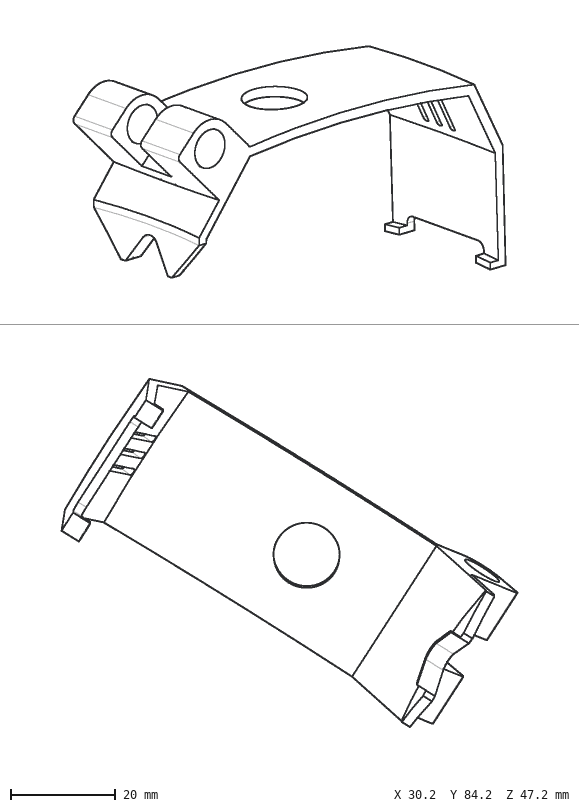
import cadquery as cq
import math

half_width = 15.1
rear_bow = 0.3
front_bow = 1.2
rear_foot_outer = (42.1, 0)
rear_foot_inner = (40.2, 0)
rear_bend_outer = (41.3, 24.5)
rear_bend_inner = (39.4, 23.3)
shoulder_outer = (34.0, 38.45)
shoulder_inner = (32.5, 36.5)
crest_outer = (2.7, 40.8)
crest_inner = (2.95, 38.7)
front_shoulder_outer = (-24.6, 39.2)
front_shoulder_inner = (-23.7, 37.4)
front_bend_outer = (-36.85, 23.9)
front_bend_inner = (-34.9, 23.2)
front_crease_outer = (-36.85, 22.4)
front_end_outer = (-37.8, 13.8)
front_end_inner = (-35.8, 13.8)

lug_y, lug_z = -34.1, 41.3
lug_radius = 5.9
lug_hole_radius = 3.9
lug_tip_radius = 1.1
lug_lower_sum = -1.35
lug_gap = 8.4
gap_depth = 5.9
gap_cut_size = 33.65
lug_root_y = -31.3
lug_root_overlap = 0.4

cut_margin = 0.8
top_hole_radius, top_hole_y = 6.3, -3.9
top_hole_cut_depth = 12.6
vent_count, vent_pitch, vent_width, vent_length = 3, 3.8, 1.35, 12.95
vent_y = 37.5
vent_cut_depth = 3.4

foot_inset = 10.9
foot_reach_y = 38.1
foot_thickness = 1.4
foot_rise = 0.3
notch_height = 3.95
notch_radius = 1.7
notch_cut_depth = 8.4

claw_top = front_crease_outer[1]
claw_tip_z = front_end_outer[1]
claw_tip_outer, claw_tip_inner = 7.2, 6.1
arch_top = 20.4
arch_flank_x, arch_flank_z = 1.85, 19.5
rib_thickness = 1.35
rib_depth = 2.0
claw_cut_y, claw_cut_depth = -25.2, 16.8


def shift(point, dy, dz=0.0):
    return (point[0] + dy, point[1] + dz)


def across_width(outline, half):
    """Extrude a closed YZ outline symmetrically about X = 0."""
    return outline.extrude(half, both=True)


def band_outline(x, rear, front):
    """YZ section of the band with its rear and front walls moved along Y."""
    return (
        cq.Workplane("YZ", origin=(x, 0, 0))
        .moveTo(*rear_foot_outer)
        .lineTo(*shift(rear_bend_outer, rear))
        .lineTo(*shift(shoulder_outer, rear, rear))
        .threePointArc(crest_outer, front_shoulder_outer)
        .lineTo(*shift(front_bend_outer, front))
        .lineTo(*shift(front_crease_outer, front))
        .lineTo(*shift(front_end_outer, front))
        .lineTo(*shift(front_end_inner, front))
        .lineTo(*shift(front_bend_inner, front))
        .lineTo(*front_shoulder_inner)
        .threePointArc(crest_inner, shift(shoulder_inner, rear, rear))
        .lineTo(*shift(rear_bend_inner, rear))
        .lineTo(*rear_foot_inner)
        .close()
        .val()
    )


def rib_outline(x, front):
    """YZ section of the layer just inside the lower front wall."""
    outer_top = shift(front_bend_inner, front)
    outer_end = shift(front_end_inner, front)
    points = [outer_top, outer_end, shift(outer_end, rib_depth), shift(outer_top, rib_depth)]
    return cq.Workplane("YZ", origin=(x, 0, 0)).polyline(points).close().val()


def bowed_solid(edge, middle, far_edge):
    return cq.Workplane(cq.Solid.makeLoft([edge, middle, far_edge]))


def arch_void(rise):
    """Space below the arch between the claws, lifted by the given rise."""
    base = claw_tip_z - cut_margin
    return (
        cq.Workplane("XZ", origin=(0, claw_cut_y, 0))
        .moveTo(-claw_tip_inner, base)
        .lineTo(-claw_tip_inner, claw_tip_z + rise)
        .lineTo(-arch_flank_x, arch_flank_z + rise)
        .threePointArc((0, arch_top + rise), (arch_flank_x, arch_flank_z + rise))
        .lineTo(claw_tip_inner, claw_tip_z + rise)
        .lineTo(claw_tip_inner, base)
        .close()
        .extrude(claw_cut_depth)
    )


def claw_side_void(side):
    """Triangular corner removed outside one claw."""
    beyond = half_width + cut_margin
    points = [
        (side * beyond, claw_top),
        (side * half_width, claw_top),
        (side * claw_tip_outer, claw_tip_z),
        (side * claw_tip_outer, claw_tip_z - cut_margin),
        (side * beyond, claw_tip_z - cut_margin),
    ]
    return cq.Workplane("XZ", origin=(0, claw_cut_y, 0)).polyline(points).close().extrude(claw_cut_depth)


def hinge_lugs():
    reach = lug_radius * math.sqrt(0.5)
    inner_sum = lug_y + lug_z + lug_radius * math.sqrt(2)
    upper_difference = lug_z - lug_y + lug_radius * math.sqrt(2)
    tip = ((lug_lower_sum - upper_difference) / 2, (lug_lower_sum + upper_difference) / 2)
    lug = across_width(
        cq.Workplane("YZ")
        .moveTo(*shift(front_shoulder_outer, 0, -lug_root_overlap))
        .lineTo(inner_sum - front_shoulder_outer[1], front_shoulder_outer[1])
        .lineTo(lug_y + reach, lug_z + reach)
        .threePointArc((lug_y, lug_z + lug_radius), (lug_y - reach, lug_z + reach))
        .lineTo(*tip)
        .lineTo(lug_root_y, lug_lower_sum - lug_root_y)
        .close(),
        half_width,
    )
    lug = lug.edges(cq.selectors.NearestToPointSelector((0, *tip))).fillet(lug_tip_radius)
    pin_hole = across_width(
        cq.Workplane("YZ").center(lug_y, lug_z).circle(lug_hole_radius), half_width + cut_margin
    )
    gap = (
        cq.Workplane("XY")
        .box(lug_gap, gap_cut_size, gap_cut_size, centered=(True, True, False))
        .translate((0, 0, -gap_depth))
        .rotate((0, 0, 0), (1, 0, 0), 45)
        .translate((0, lug_y, lug_z))
    )
    return lug.cut(pin_hole).cut(gap)


def foot(side):
    points = [
        (side * half_width, 0),
        (side * foot_inset, foot_rise),
        (side * foot_inset, foot_rise + foot_thickness),
        (side * half_width, foot_thickness),
    ]
    wall_middle = (rear_foot_outer[0] + rear_foot_inner[0]) / 2
    return (
        cq.Workplane("XZ", origin=(0, wall_middle, 0))
        .polyline(points)
        .close()
        .extrude(wall_middle - foot_reach_y)
    )


def rear_notch():
    """Opening between the feet, with the wall ends sloping like the feet."""
    opening = (
        cq.Workplane("XY", origin=(0, rear_foot_inner[0], 0))
        .box(2 * foot_inset, notch_cut_depth, 2 * notch_height)
        .edges("|Y and >Z")
        .fillet(notch_radius)
    )
    for side in (-1, 1):
        points = [(side * half_width, 0), (side * foot_inset, foot_rise), (side * foot_inset, 0)]
        wedge = cq.Workplane("XZ", origin=(0, rear_foot_outer[0] + cut_margin, 0)).polyline(points).close()
        opening = opening.union(wedge.extrude(notch_cut_depth / 2))
    return opening


def vents():
    """Slots cut square through the sloping rear plate."""
    run = shoulder_outer[0] - rear_bend_outer[0]
    rise = shoulder_outer[1] - rear_bend_outer[1]
    vent_z = rear_bend_outer[1] + (vent_y - rear_bend_outer[0]) * rise / run
    plane = cq.Plane(origin=(0, vent_y, vent_z), xDir=(1, 0, 0), normal=(0, rise, -run))
    return (
        cq.Workplane(plane)
        .rarray(vent_pitch, 0.8, vent_count, 1)
        .slot2D(vent_length, vent_width, 90)
        .extrude(vent_cut_depth, both=True)
    )


band = bowed_solid(
    band_outline(-half_width, 0, 0),
    band_outline(0, rear_bow, front_bow),
    band_outline(half_width, 0, 0),
)
rib_layer = bowed_solid(
    rib_outline(-half_width, 0), rib_outline(0, front_bow), rib_outline(half_width, 0)
)
arch_rib = rib_layer.intersect(arch_void(rib_thickness))

top_hole = (
    cq.Workplane("XY", origin=(0, top_hole_y, shoulder_inner[1] - cut_margin))
    .circle(top_hole_radius)
    .extrude(top_hole_cut_depth)
)

body = band.union(arch_rib).cut(arch_void(0))
for side in (-1, 1):
    body = body.cut(claw_side_void(side))
body = body.cut(rear_notch()).cut(top_hole).cut(vents())
for side in (-1, 1):
    body = body.union(foot(side))

result = body.union(hinge_lugs())